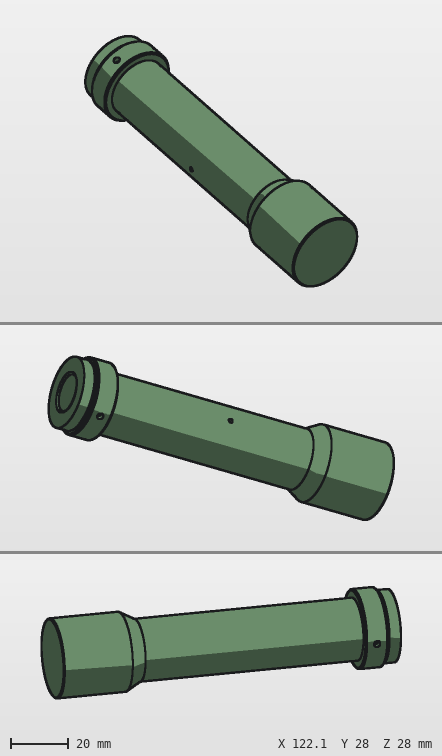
import cadquery as cq
import math

length = 122.1
head_diameter = 28.0
head_radius = head_diameter / 2
tube_radius = 11.0
nose_radius = 12.8
groove_radius = 12.3

groove_start = 4.2
collar_start = 4.9
collar_end = 13.1
taper_start = 91.7
taper_end = 97.2
collar_chamfer = 0.5
end_chamfer = 0.4

recess_radius = 7.3
floor_radius = 6.6
rim_depth = 0.6
floor_depth = 1.5

collar_hole_diameter = 2.2
collar_hole_depth = 2.5
collar_hole_count = 3
collar_hole_tilt = 25.0
tube_hole_diameter = 1.5
tube_hole_depth = 2.5
tube_hole_x = 59.0


def make_barrel():
    """Revolve the half-profile of the solid barrel about X."""
    profile = (
        cq.Workplane("XY")
        .moveTo(floor_depth, 0)
        .lineTo(rim_depth, floor_radius)
        .lineTo(0, recess_radius)
        .lineTo(0, nose_radius)
        .lineTo(groove_start, nose_radius)
        .lineTo(groove_start, groove_radius)
        .lineTo(collar_start, groove_radius)
        .lineTo(collar_start, head_radius - collar_chamfer)
        .lineTo(collar_start + collar_chamfer, head_radius)
        .lineTo(collar_end - collar_chamfer, head_radius)
        .lineTo(collar_end, head_radius - collar_chamfer)
        .lineTo(collar_end, tube_radius)
        .lineTo(taper_start, tube_radius)
        .lineTo(taper_end, head_radius)
        .lineTo(length - end_chamfer, head_radius)
        .lineTo(length, head_radius - end_chamfer)
        .lineTo(length, 0)
        .close()
    )
    return profile.revolve(360, (0, 0, 0), (1, 0, 0))


def radial_hole(x, surface_radius, diameter, depth, tilt):
    """Cutter for a blind radial hole, turned by tilt from +Z towards -Y."""
    angle = math.radians(tilt)
    outward = cq.Vector(0, -math.sin(angle), math.cos(angle))
    bottom = cq.Vector(x, 0, 0) + outward * (surface_radius - depth)
    height = depth + diameter / 2
    return cq.Solid.makeCylinder(diameter / 2, height, bottom, outward)


result = make_barrel()

collar_middle = (collar_start + collar_end) / 2
for index in range(collar_hole_count):
    hole_tilt = collar_hole_tilt + index * 360 / collar_hole_count
    result = result.cut(
        radial_hole(collar_middle, head_radius, collar_hole_diameter, collar_hole_depth, hole_tilt)
    )

result = result.cut(
    radial_hole(tube_hole_x, tube_radius, tube_hole_diameter, tube_hole_depth, 90)
)